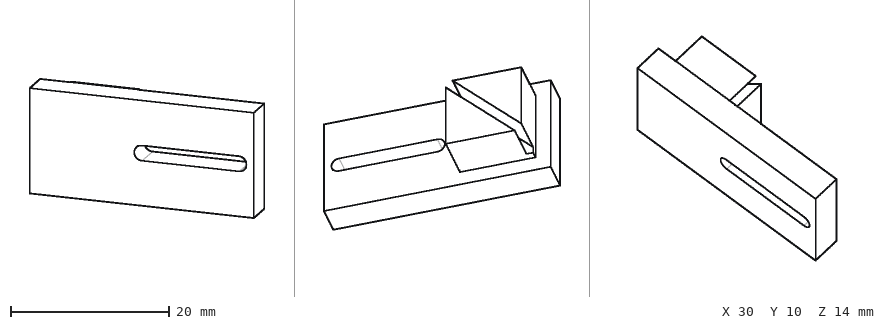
import cadquery as cq

plate_length = 30.0
plate_thickness = plate_length * 2 / 15
plate_height = plate_length * 7 / 15

block_side = plate_length / 3
block_depth = plate_length / 5
block_inset = plate_length / 15

groove_width = 1.25
groove_depth = block_side / 2
groove_angle = 45
groove_length = 2 * block_side

slot_length = plate_length / 2
slot_width = plate_length / 15
slot_end_margin = slot_width / 2

block_back = plate_thickness + block_depth
block_center = block_inset + block_side / 2

plate = cq.Workplane("XY").box(plate_length, plate_thickness, plate_height, centered=False)

block = cq.Workplane("XY", origin=(block_inset, plate_thickness, block_inset)).box(
    block_side, block_depth, block_side, centered=False
)

groove = (
    cq.Workplane("XZ", origin=(block_center, block_back, block_center))
    .transformed(rotate=(0, 0, groove_angle))
    .rect(groove_length, groove_width)
    .extrude(groove_depth)
)

slot_center_x = plate_length - slot_end_margin - slot_length / 2
slot = (
    cq.Workplane("XZ", origin=(slot_center_x, 0, plate_height / 2))
    .slot2D(slot_length, slot_width)
    .extrude(-plate_thickness)
)

result = plate.union(block.cut(groove)).cut(slot)